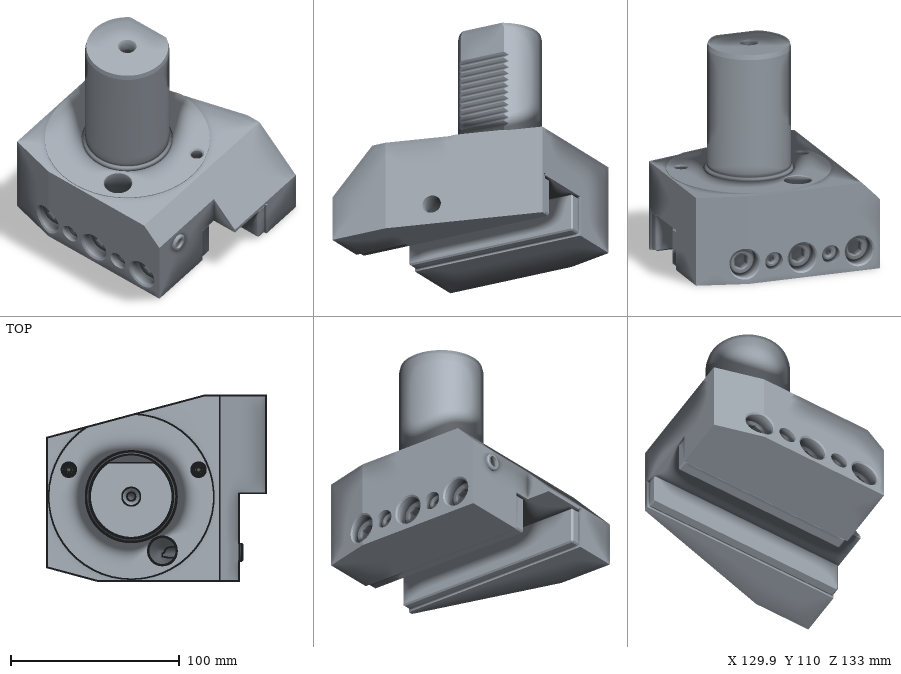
import cadquery as cq
import math


DRILL_HALF_ANGLE = math.radians(59)
SELECT_MARGIN = 0.1
OVERCUT = 1.3

LEFT_X = -50.0
FRONT_Y = -50.0
BACK_Y = 60.0
RIGHT_X = 79.9
TOTAL_HEIGHT = 133.0
BLOCK_HEIGHT = 54.5
SIDE_ANGLE = math.radians(15)
FRONT_CORNER_X = -20.0
LEFT_BACK_Y = 35.0
NOTCH_X = 64.0
NOTCH_Y = 1.9
BEVEL_X = 52.4

SEAT_R = 49.0
SEAT_HEIGHT = 0.5
SEAT_Z = BLOCK_HEIGHT + SEAT_HEIGHT
GROOVE_R = 27.1
GROOVE_DEPTH = 1.3
RING_MAJOR_R = 24.9
RING_MINOR_R = 1.7
RING_Z = 55.2

SHANK_R = 25.0
NECK_R = 24.5
NECK_TOP_Z = 58.5
TIP_R = 24.3
TIP_LENGTH = 2.9
FLAT_Y = 20.2
FLAT_BOTTOM_Z = 62.9
TOOTH_COUNT = 12
TOOTH_PITCH = 4.0
TOOTH_DEPTH = 1.9
LOWEST_TOOTH_Z = 68.6
CENTRE_MOUTH_R = 5.5
CENTRE_BORE_R = 2.5
CENTRE_DEPTH = 13.3
CENTRE_HALF_ANGLE = math.radians(30)

SLOT_FRONT_Y = -9.0
SLOT_BACK_Y = 31.9
SLOT_HEIGHT = 24.7
RELIEF_SIZE = 1.9
RELIEF_OFFSET = 1.0

JAW_BOTTOM_Z = 1.0
JAW_TOP_Z = 24.0
JAW_INSET = 0.7
JAW_CHAMFER = 0.9
FRONT_JAW_WIDTH = 8.2
BACK_JAW_WIDTH = 6.8

LEAD_ANGLE = math.radians(30)
HEX_TURN = 30
SCREW_Z = 12.4
SCREW_MIDDLE_X = 14.5
CLAMP_SPACING = 36.2
MOUTH_CHAMFER = 0.9
CLAMP_BORE_R = 8.6
CLAMP_BORE_DEPTH = 6.9
PIN_BORE_R = 3.5
BACK_HOLE_X = 15.8
BACK_HOLE_R = 5.5
PIN_XS = (-37.0, 39.9)
PIN_Y = 16.0

COOLANT_X = 18.5
COOLANT_Y = -32.2
COOLANT_R = 8.2
COOLANT_MOUTH_R = 8.6
COOLANT_TIP_Z = 30.5
CHANNEL_R = 3.3
NOZZLE_Y = -33.0
NOZZLE_Z = 34.6
NOZZLE_R = 5.2
NOZZLE_LENGTH = 2.0
NOZZLE_CHAMFER = 0.7
NOZZLE_END_X = NOTCH_X + NOZZLE_LENGTH


def box(x0, x1, y0, y1, z0, z1):
    """Box between two corners."""
    return cq.Workplane("XY").box(x1 - x0, y1 - y0, z1 - z0, centered=False).translate((x0, y0, z0))


def revolved(profile):
    """Solid turned about the Z axis from (radius, z) points."""
    return cq.Workplane("XZ").polyline(profile).close().revolve(360, (0, 0, 0), (0, 1, 0))


def screw_hole(bore_r, depth, point_r, point_height, lead_r, flats, socket_depth):
    """Cutter for a hole holding a sunk socket screw; mouth at Z = 0, hole going down.

    The screw end is a bevelled stub at the hole bottom with a hexagon socket and a lead-in cone.
    """
    hole = revolved([
        (0, depth),
        (bore_r, depth),
        (bore_r, -depth - point_height),
        (point_r, -depth),
        (0, -depth),
    ])
    corner_diameter = 2 * flats / math.sqrt(3)
    half_flats = flats / 2
    hexagon = (
        cq.Workplane("XY").workplane(offset=-depth).polygon(6, corner_diameter).extrude(-socket_depth)
        .rotate((0, 0, 0), (0, 0, 1), HEX_TURN)
    )
    lead_depth = (lead_r - half_flats) * math.tan(LEAD_ANGLE)
    lead_z = -depth - lead_depth
    lead = revolved([(0, -depth), (lead_r, -depth), (half_flats, lead_z), (0, lead_z)])
    return hole.union(hexagon).union(lead)


def facing_front(cutter, x):
    """Turn a downward cutter so that it goes into the front face at the screw height."""
    return cutter.rotate((0, 0, 0), (1, 0, 0), 90).translate((x, FRONT_Y, SCREW_Z))


def chamfer_mouths(body, low, high):
    """Chamfer the round edges whose centres lie in the box between two corners."""
    region = cq.selectors.BoxSelector(
        tuple(value - SELECT_MARGIN for value in low), tuple(value + SELECT_MARGIN for value in high)
    )
    mouths = body.edges("(%CIRCLE) or (%ELLIPSE)").edges(region)
    return mouths.chamfer(MOUTH_CHAMFER)


def block():
    """Block with slanted sides, corner notch and bevelled right edge."""
    slope = math.tan(SIDE_ANGLE)
    outline = [
        (LEFT_X, FRONT_Y + (FRONT_CORNER_X - LEFT_X) * slope),
        (FRONT_CORNER_X, FRONT_Y),
        (NOTCH_X, FRONT_Y),
        (NOTCH_X, NOTCH_Y),
        (RIGHT_X, NOTCH_Y),
        (RIGHT_X, BACK_Y),
        (LEFT_X + (BACK_Y - LEFT_BACK_Y) / slope, BACK_Y),
        (LEFT_X, LEFT_BACK_Y),
    ]
    prism = cq.Workplane("XY").polyline(outline).close().extrude(BLOCK_HEIGHT)
    seat = (
        cq.Workplane("XY").workplane(offset=BLOCK_HEIGHT).polyline(outline).close().extrude(SEAT_HEIGHT)
        .intersect(cq.Workplane("XY").circle(SEAT_R).extrude(SEAT_Z))
    )
    bevel_width = RIGHT_X - BEVEL_X
    bevel = (
        cq.Workplane("XZ", origin=(0, BACK_Y, 0))
        .polyline([
            (BEVEL_X, BLOCK_HEIGHT), (RIGHT_X, BLOCK_HEIGHT), (RIGHT_X, BLOCK_HEIGHT - bevel_width),
        ])
        .close().extrude(BACK_Y - FRONT_Y)
    )
    return prism.cut(bevel).union(seat)


def tool_slot():
    """Slot along X, open at the bottom, with a relief in its back upper corner."""
    slot = box(LEFT_X, RIGHT_X, SLOT_FRONT_Y, SLOT_BACK_Y, 0, SLOT_HEIGHT)
    relief_y = SLOT_BACK_Y + RELIEF_OFFSET
    relief_z = SLOT_HEIGHT + RELIEF_OFFSET
    relief = box(
        LEFT_X, RIGHT_X,
        relief_y - RELIEF_SIZE, relief_y,
        relief_z - RELIEF_SIZE, relief_z,
    )
    return slot.union(relief)


def shank():
    """Toothed shank with a bevelled tip, a neck and an O-ring at its root."""
    body = revolved([
        (0, BLOCK_HEIGHT - GROOVE_DEPTH),
        (NECK_R, BLOCK_HEIGHT - GROOVE_DEPTH),
        (NECK_R, RING_Z),
        (SHANK_R, NECK_TOP_Z),
        (SHANK_R, TOTAL_HEIGHT - TIP_LENGTH),
        (TIP_R, TOTAL_HEIGHT),
        (0, TOTAL_HEIGHT),
    ])
    body = body.cut(box(-SHANK_R, SHANK_R, FLAT_Y, SHANK_R + OVERCUT, FLAT_BOTTOM_Z, TOTAL_HEIGHT))
    for i in range(TOOTH_COUNT):
        root_z = LOWEST_TOOTH_Z + i * TOOTH_PITCH
        gap = (
            cq.Workplane("YZ", origin=(-SHANK_R, 0, 0))
            .polyline([
                (FLAT_Y - TOOTH_DEPTH, root_z),
                (FLAT_Y, root_z - TOOTH_DEPTH),
                (FLAT_Y, root_z + TOOTH_DEPTH),
            ])
            .close().extrude(2 * SHANK_R)
        )
        body = body.cut(gap)
    cone_depth = (CENTRE_MOUTH_R - CENTRE_BORE_R) / math.tan(CENTRE_HALF_ANGLE)
    centre_hole = revolved([
        (0, TOTAL_HEIGHT),
        (CENTRE_MOUTH_R, TOTAL_HEIGHT),
        (CENTRE_BORE_R, TOTAL_HEIGHT - cone_depth),
        (CENTRE_BORE_R, TOTAL_HEIGHT - CENTRE_DEPTH),
        (0, TOTAL_HEIGHT - CENTRE_DEPTH - CENTRE_BORE_R / math.tan(DRILL_HALF_ANGLE)),
    ])
    ring = cq.Workplane("XZ").center(RING_MAJOR_R, RING_Z).circle(RING_MINOR_R)
    ring = ring.revolve(360, (-RING_MAJOR_R, 0, 0), (-RING_MAJOR_R, 1, 0))
    return body.cut(centre_hole).union(ring)


def nozzle():
    """Short coolant nozzle on the notch face."""
    return (
        cq.Workplane("YZ", origin=(NOTCH_X, NOZZLE_Y, NOZZLE_Z)).circle(NOZZLE_R).extrude(NOZZLE_LENGTH)
        .faces(">X").chamfer(NOZZLE_CHAMFER)
    )


def coolant_bore():
    """Coolant inlet from the top and the channel from its bottom through the nozzle."""
    mouth_chamfer = COOLANT_MOUTH_R - COOLANT_R
    cone_top_z = COOLANT_TIP_Z + COOLANT_R / math.tan(DRILL_HALF_ANGLE)
    inlet = revolved([
        (0, SEAT_Z),
        (COOLANT_MOUTH_R, SEAT_Z),
        (COOLANT_R, SEAT_Z - mouth_chamfer),
        (COOLANT_R, cone_top_z),
        (0, COOLANT_TIP_Z),
    ]).translate((COOLANT_X, COOLANT_Y, 0))
    channel = cq.Workplane("YZ", origin=(COOLANT_X, NOZZLE_Y, NOZZLE_Z)).circle(CHANNEL_R)
    return inlet.union(channel.extrude(NOZZLE_END_X - COOLANT_X))


def holder():
    """Block, shank and nozzle as one solid with all holes."""
    body = block().cut(tool_slot())
    groove = cq.Workplane("XY").workplane(offset=BLOCK_HEIGHT - GROOVE_DEPTH).circle(GROOVE_R)
    body = body.cut(groove.extrude(GROOVE_DEPTH + SEAT_HEIGHT)).union(shank()).union(nozzle())
    body = body.cut(coolant_bore())

    clamp_hole = screw_hole(
        bore_r=CLAMP_BORE_R, depth=CLAMP_BORE_DEPTH, point_r=7.3, point_height=1.0,
        lead_r=5.2, flats=8.2, socket_depth=5.3,
    )
    set_hole = screw_hole(
        bore_r=5.6, depth=3.7, point_r=4.3, point_height=1.0,
        lead_r=3.0, flats=3.5, socket_depth=3.3,
    )
    pin_hole = screw_hole(
        bore_r=PIN_BORE_R, depth=6.6, point_r=2.9, point_height=0.5,
        lead_r=2.7, flats=2.9, socket_depth=2.7,
    )
    for i in (-1, 0, 1):
        body = body.cut(facing_front(clamp_hole, SCREW_MIDDLE_X + i * CLAMP_SPACING))
    body = chamfer_mouths(body, (LEFT_X, FRONT_Y, 0), (NOTCH_X, FRONT_Y + CLAMP_BORE_DEPTH / 2, SLOT_HEIGHT))
    for i in (-0.5, 0.5):
        body = body.cut(facing_front(set_hole, SCREW_MIDDLE_X + i * CLAMP_SPACING))
    for x in PIN_XS:
        body = body.cut(pin_hole.translate((x, PIN_Y, SEAT_Z)))
        body = chamfer_mouths(
            body,
            (x - PIN_BORE_R, PIN_Y - PIN_BORE_R, BLOCK_HEIGHT),
            (x + PIN_BORE_R, PIN_Y + PIN_BORE_R, TOTAL_HEIGHT),
        )
    back_hole = cq.Workplane("XZ", origin=(BACK_HOLE_X, BACK_Y, SCREW_Z)).circle(BACK_HOLE_R)
    return body.cut(back_hole.extrude(BACK_Y - SLOT_BACK_Y))


def jaw(right_end_x, y0, y1):
    """Clamping jaw, chamfered all round."""
    bar = box(LEFT_X + JAW_INSET, right_end_x - JAW_INSET, y0, y1, JAW_BOTTOM_Z, JAW_TOP_Z)
    return bar.edges().chamfer(JAW_CHAMFER)


tool_holder = holder()
front_jaw = jaw(NOTCH_X, SLOT_FRONT_Y, SLOT_FRONT_Y + FRONT_JAW_WIDTH)
back_jaw = jaw(RIGHT_X, SLOT_BACK_Y - BACK_JAW_WIDTH, SLOT_BACK_Y)

result = cq.Compound.makeCompound([tool_holder.val(), front_jaw.val(), back_jaw.val()])